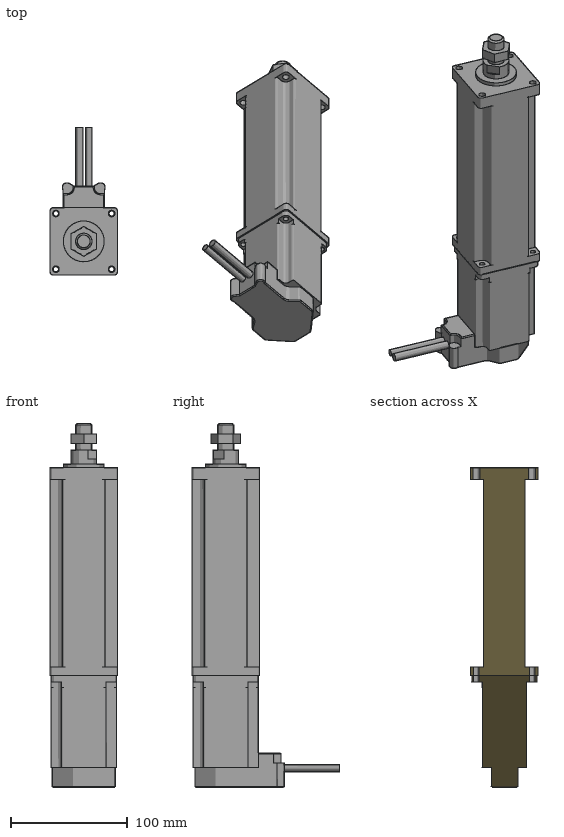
import cadquery as cq
import math

CAP_TOP = 16.8
MOTOR_LIP_TOP = 85.5
MOTOR_GROOVE_TOP = 90.0
MOTOR_TOP = 95.5
HOUSING_GROOVE_BOTTOM = 103.0
HOUSING_GROOVE_TOP = 263.2
HOUSING_TOP = 273.5
COLLAR_TOP = 276.5
BOSS_TOP = 288.5
NUT_BOTTOM = 294.0
NUT_TOP = 302.5
ROD_TOP = 311.5

HOUSING_SIZE = 58.0
HOUSING_CORNER_RADIUS = 3.0
HOUSING_GROOVE_FLOOR = 18.0
HOUSING_GROOVE_RADIUS = 5.5
HOUSING_LIP_RADIUS = 2.0
COLLAR_DIAMETER = 35.0
HOLE_SPACING = 47.7
TOP_HOLE_DIAMETER = 5.5
BOTTOM_HOLE_DIAMETER = 4.5

THREAD_DIAMETER = 14.0
THREAD_CHAMFER = 1.5
BOSS_DIAMETER = 22.0
BOSS_FLATS = 19.0
BOSS_FLAT_HEIGHT = 7.5
BOSS_FLAT_ANGLE = -39.0
NUT_FLATS = 22.0

MOTOR_SIZE = 56.0
MOTOR_CORNER_RADIUS = 4.5
MOTOR_GROOVE_FLOOR = 19.0
MOTOR_GROOVE_RADIUS = 4.0
MOTOR_LIP_RADIUS = 1.5
MOTOR_HOLE_DIAMETER = 4.5

CAP_WIDTH = 54.2
CAP_FRONT = 26.5
CAP_FRONT_HALF = 9.5
CAP_SIDE_HALF = 8.7
CAP_CORNER_RADIUS = 4.0
CAP_EDGE_CHAMFER = 1.0
OUTLET_WIDTH = 35.5
OUTLET_END = 47.5
OUTLET_HEIGHT = 29.5
OUTLET_ROOT_Y = 16.5
OUTLET_ROOT_RADIUS = 7.0
OUTLET_EDGE_CHAMFER = 1.0
EAR_X = 14.3
EAR_Y = 46.0
EAR_RADIUS = 4.0
EAR_WEB_ANGLE = 30.0
EAR_HEIGHT = 21.0
NOTCH_RADIUS = 5.3

CABLES = [(-3.7, 6.5), (4.5, 5.5)]
CABLE_HEIGHT = 16.5
CABLE_END = 97.5


def rounded_square(size, radius, bottom, top):
    """Square block on the axis with round vertical corners."""
    block = cq.Workplane("XY").workplane(offset=bottom).rect(size, size).extrude(top - bottom)
    return block.edges("|Z").fillet(radius)


def corner_groove(size, floor, radius, bottom, top):
    """Cutter for the groove in the +X +Y corner: two straight walls and a round bottom."""
    depth = size / 2 - floor
    centre = size / 2 - depth / 2
    groove = (
        cq.Workplane("XY").workplane(offset=bottom)
        .center(centre, centre).rect(depth, depth).extrude(top - bottom)
    )
    return groove.edges("|Z and <X and <Y").fillet(radius)


def groove_lip(size, floor, radius, bottom, top):
    """Cutter that rounds the edge where one wall of the +X +Y groove meets the +X side."""
    half = size / 2
    rise = radius * math.sqrt(0.5)
    arc_middle = (half - radius + rise, floor - radius + rise)
    return (
        cq.Workplane("XY").workplane(offset=bottom)
        .moveTo(half, floor - radius)
        .threePointArc(arc_middle, (half - radius, floor))
        .lineTo(half, floor).close()
        .extrude(top - bottom)
    )


def mirrored_on_diagonal(cutter):
    """The same cutter on the other side of the diagonal X = Y."""
    return cutter.mirror("XZ").rotate((0, 0, 0), (0, 0, 1), 90)


def cut_corners(body, cutter):
    """Cut one corner shape from all four corners."""
    for quarter in range(4):
        body = body.cut(cutter.rotate((0, 0, 0), (0, 0, 1), 90 * quarter))
    return body


def corner_holes(diameter, bottom, top):
    """Four mounting holes through the layer between two heights."""
    return (
        cq.Workplane("XY").workplane(offset=bottom)
        .rect(HOLE_SPACING, HOLE_SPACING, forConstruction=True).vertices()
        .circle(diameter / 2).extrude(top - bottom)
    )


def disc(diameter, bottom, top):
    """Upright cylinder on the axis."""
    return cq.Workplane("XY").workplane(offset=bottom).circle(diameter / 2).extrude(top - bottom)


def make_housing():
    """Square housing with end plates, grooved corners between them and a round collar on top."""
    housing = rounded_square(HOUSING_SIZE, HOUSING_CORNER_RADIUS, MOTOR_TOP, HOUSING_TOP)
    span = (HOUSING_GROOVE_BOTTOM, HOUSING_GROOVE_TOP)
    groove = corner_groove(HOUSING_SIZE, HOUSING_GROOVE_FLOOR, HOUSING_GROOVE_RADIUS, *span)
    lip = groove_lip(HOUSING_SIZE, HOUSING_GROOVE_FLOOR, HOUSING_LIP_RADIUS, *span)
    for cutter in (groove, lip, mirrored_on_diagonal(lip)):
        housing = cut_corners(housing, cutter)
    housing = housing.cut(corner_holes(TOP_HOLE_DIAMETER, HOUSING_GROOVE_TOP, HOUSING_TOP))
    housing = housing.cut(corner_holes(BOTTOM_HOLE_DIAMETER, MOTOR_TOP, HOUSING_GROOVE_BOTTOM))
    return housing.union(disc(COLLAR_DIAMETER, HOUSING_TOP, COLLAR_TOP))


def make_rod():
    """Threaded rod with a wrench boss below and a lock nut."""
    flats_bottom = BOSS_TOP - BOSS_FLAT_HEIGHT
    flat_zone = (
        cq.Workplane("XY").workplane(offset=flats_bottom)
        .rect(BOSS_FLATS, BOSS_DIAMETER).extrude(BOSS_FLAT_HEIGHT)
        .rotate((0, 0, 0), (0, 0, 1), BOSS_FLAT_ANGLE)
    )
    boss_upper = disc(BOSS_DIAMETER, flats_bottom, BOSS_TOP).intersect(flat_zone)
    boss = disc(BOSS_DIAMETER, COLLAR_TOP, flats_bottom).union(boss_upper)
    thread = disc(THREAD_DIAMETER, BOSS_TOP, ROD_TOP).faces(">Z").chamfer(THREAD_CHAMFER)
    nut = (
        cq.Workplane("XY").workplane(offset=NUT_BOTTOM)
        .polygon(6, NUT_FLATS, circumscribed=True).extrude(NUT_TOP - NUT_BOTTOM)
    )
    return boss.union(thread).union(nut)


def make_frame():
    """Square motor frame with a mounting flange on top and grooved corners below it."""
    flange = rounded_square(MOTOR_SIZE, MOTOR_CORNER_RADIUS, MOTOR_GROOVE_TOP, MOTOR_TOP)
    flange = flange.cut(corner_holes(MOTOR_HOLE_DIAMETER, MOTOR_GROOVE_TOP, MOTOR_TOP))
    core = cq.Workplane("XY").workplane(offset=CAP_TOP).rect(MOTOR_SIZE, MOTOR_SIZE)
    core = core.extrude(MOTOR_GROOVE_TOP - CAP_TOP)
    groove = corner_groove(
        MOTOR_SIZE, MOTOR_GROOVE_FLOOR, MOTOR_GROOVE_RADIUS, CAP_TOP, MOTOR_GROOVE_TOP
    )
    lip = groove_lip(MOTOR_SIZE, MOTOR_GROOVE_FLOOR, MOTOR_LIP_RADIUS, CAP_TOP, MOTOR_LIP_TOP)
    for cutter in (groove, lip, mirrored_on_diagonal(lip)):
        core = cut_corners(core, cutter)
    return core.union(flange)


def fillet_upright_edges(block, corners, radius):
    """Round the cap's upright edges at the given corners and at their mirror images in X."""
    chosen = []
    for x, y in corners:
        for mirrored_x in (-x, x):
            nearest = cq.selectors.NearestToPointSelector((mirrored_x, y, CAP_TOP / 2))
            chosen.append(block.edges(nearest).val())
    return cq.Workplane(obj=block.val().fillet(radius, chosen))


def make_cap():
    """Eight-sided end cap that runs out at the back into the lower part of the cable outlet."""
    side = CAP_WIDTH / 2
    outlet_side = OUTLET_WIDTH / 2
    right_half = [
        (CAP_FRONT_HALF, -CAP_FRONT),
        (side, -CAP_SIDE_HALF),
        (side, CAP_SIDE_HALF),
        (outlet_side, OUTLET_ROOT_Y),
        (outlet_side, EAR_Y),
    ]
    left_half = [(-x, y) for x, y in reversed(right_half)]
    cap = cq.Workplane("XY").polyline(right_half + left_half).close().extrude(CAP_TOP)

    *cap_corners, outlet_root, _ = right_half
    cap = fillet_upright_edges(cap, cap_corners, CAP_CORNER_RADIUS)
    return fillet_upright_edges(cap, [outlet_root], OUTLET_ROOT_RADIUS)


def make_ears():
    """Round screw ears at both back corners, each with a sloping web down to the end wall."""
    slope = math.radians(EAR_WEB_ANGLE)
    tangent_x = EAR_X - EAR_RADIUS * math.sin(slope)
    tangent_y = EAR_Y + EAR_RADIUS * math.cos(slope)
    foot_x = tangent_x - (tangent_y - OUTLET_END) / math.tan(slope)
    web = [(EAR_X, EAR_Y), (tangent_x, tangent_y), (foot_x, OUTLET_END), (foot_x, EAR_Y)]
    ear = cq.Workplane("XY").center(EAR_X, EAR_Y).circle(EAR_RADIUS).extrude(EAR_HEIGHT)
    ear = ear.union(cq.Workplane("XY").polyline(web).close().extrude(EAR_HEIGHT))
    return ear.union(ear.mirror("YZ"))


def corner_notch():
    """Cutter above the right ear: a round notch that opens straight to the side and the back."""
    reach = OUTLET_WIDTH / 2
    layer = cq.Workplane("XY").workplane(offset=EAR_HEIGHT).center(EAR_X, EAR_Y)
    depth = OUTLET_HEIGHT - EAR_HEIGHT
    opening = layer.rect(reach, 2 * NOTCH_RADIUS).extrude(depth).translate((reach / 2, 0, 0))
    return layer.circle(NOTCH_RADIUS).extrude(depth).union(opening)


def make_outlet():
    """Block behind the motor with a screw ear, and a notch above it, at each back corner."""
    start = MOTOR_SIZE / 2
    side = OUTLET_WIDTH / 2
    outline = [
        (side, start), (side, EAR_Y), (EAR_X, EAR_Y), (EAR_X, OUTLET_END),
        (-EAR_X, OUTLET_END), (-EAR_X, EAR_Y), (-side, EAR_Y), (-side, start),
    ]
    outlet = cq.Workplane("XY").polyline(outline).close().extrude(OUTLET_HEIGHT)
    notch = corner_notch()
    outlet = outlet.cut(notch).cut(notch.mirror("YZ"))
    outlet = outlet.faces(">Z").edges("not <Y").chamfer(OUTLET_EDGE_CHAMFER)
    return outlet.union(make_ears())


def make_cable(x, diameter):
    """Straight cable leaving the end wall of the outlet in +Y."""
    length = CABLE_END - OUTLET_END
    return (
        cq.Workplane("XZ", origin=(x, OUTLET_END, CABLE_HEIGHT))
        .circle(diameter / 2).extrude(-length)
    )


def make_motor():
    """Motor frame with its end cap, cable outlet and cables, all one body."""
    motor = make_cap().union(make_outlet())
    motor = motor.faces("<Z").chamfer(CAP_EDGE_CHAMFER)
    motor = motor.union(make_frame())
    for x, diameter in CABLES:
        motor = motor.union(make_cable(x, diameter))
    return motor


housing = make_housing()
rod = make_rod()
motor = make_motor()

result = cq.Compound.makeCompound([body.solids().val() for body in (housing, rod, motor)])